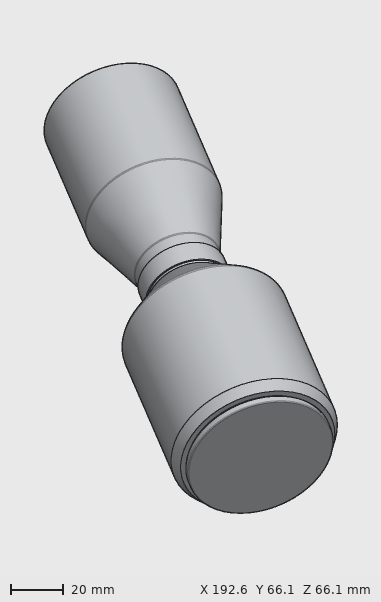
import cadquery as cq

total_length = 192.6

handle_radius = 27.2
neck_radius = 17.0
collar_radius = 17.5
body_radius = 33.03
bevel_end_radius = 30.6
groove_radius = 28.3
flange_radius = 28.9

handle_end = 54.0
neck_start = 84.5
collar_start = 90.5
collar_end = 100.0
body_cone_start = 101.1
body_start = 120.2
bevel_start = 184.3
bevel_end = 188.7
flange_start = 189.7

blend_radius = 1.7
rim_radius = 0.4

half_section = [
    (0, 0),
    (0, handle_radius),
    (handle_end, handle_radius),
    (neck_start, neck_radius),
    (collar_start, neck_radius),
    (collar_start, collar_radius),
    (collar_end, collar_radius),
    (collar_end, neck_radius),
    (body_cone_start, neck_radius),
    (body_start, body_radius),
    (bevel_start, body_radius),
    (bevel_end, bevel_end_radius),
    (bevel_end, groove_radius),
    (flange_start, groove_radius),
    (flange_start, flange_radius),
    (total_length, flange_radius),
    (total_length, 0),
]


def fillet_circle(solid, station, radius, fillet_radius):
    """Fillet the circular edge of the given radius at one station along X."""
    margin = 0.02
    reach = radius + margin
    slice_box = cq.selectors.BoxSelector(
        (station - margin, -reach, -reach),
        (station + margin, reach, reach),
        boundingbox=True,
    )
    inner_box = cq.selectors.BoxSelector(
        (station - margin, -radius + margin, -radius + margin),
        (station + margin, radius - margin, radius - margin),
        boundingbox=True,
    )
    return solid.edges(slice_box - inner_box).fillet(fillet_radius)


turned = (
    cq.Workplane("XY")
    .polyline(half_section)
    .close()
    .revolve(360, (0, 0, 0), (1, 0, 0))
)

for station, radius in (
    (handle_end, handle_radius),
    (neck_start, neck_radius),
    (body_start, body_radius),
):
    turned = fillet_circle(turned, station, radius, blend_radius)

turned = fillet_circle(turned, total_length, flange_radius, rim_radius)

result = turned.translate((-total_length / 2, 0, 0))